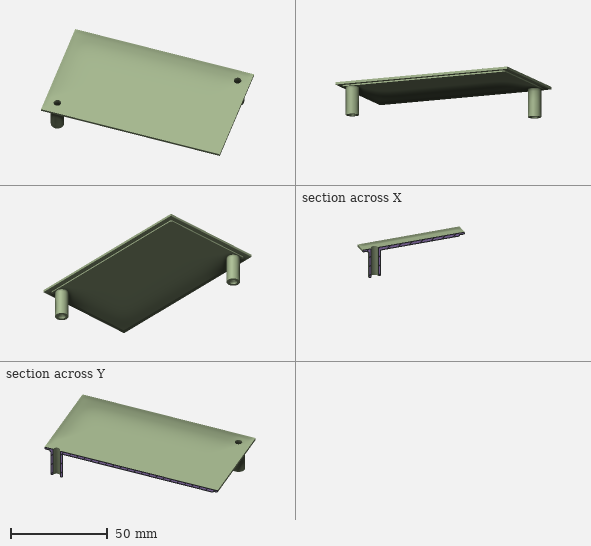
import cadquery as cq

plate_length = 97.4
plate_width = 56.8
plate_thickness = 1.3

step_inset = 2.6
step_thickness = 0.7
step_corner_radius = 1.1

total_height = 16.7
post_diameter = 6.9
bore_diameter = 3.9
post_edge_distance = 6.7

post_x = plate_length / 2 - post_edge_distance
post_y = plate_width / 2 - post_edge_distance
post_centers = [(-post_x, -post_y), (post_x, post_y)]

plate = cq.Workplane("XY").box(
    plate_length, plate_width, plate_thickness, centered=(True, True, False)
).translate((0, 0, -plate_thickness))

step_depth = plate_thickness + step_thickness
step = cq.Workplane("XY").box(
    plate_length - 2 * step_inset,
    plate_width - 2 * step_inset,
    step_depth,
    centered=(True, True, False),
).translate((0, 0, -step_depth)).edges("|Z").fillet(step_corner_radius)


def post_cylinders(diameter):
    """Cylinders of full part height at both post positions."""
    return cq.Workplane("XY").pushPoints(post_centers).circle(diameter / 2).extrude(-total_height)


result = plate.union(step).union(post_cylinders(post_diameter)).cut(post_cylinders(bore_diameter))